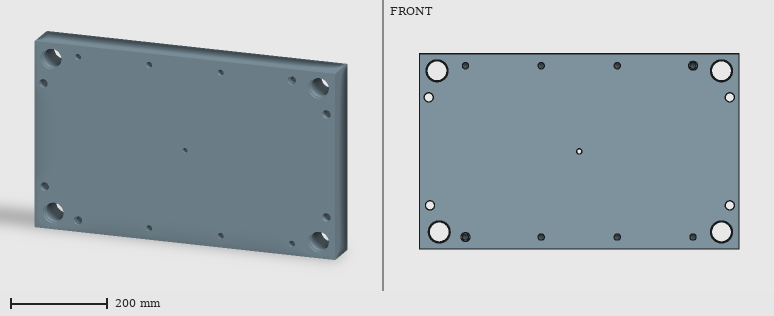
import cadquery as cq
import math

length = 660.5
thickness = 73.0
height = 403.5
front_y = -thickness / 2

pillar_diameter = 41.0
pillar_recess_diameter = 45.5
pillar_recess_depth = 5.0
pillar_x = 294.0
pillar_z = 166.5
pillar_offset = 4.5

side_diameter = 18.5
side_x = 311.0
side_z = 111.5
side_offset = 2.5

centre_diameter = 10.5

blind_diameter = 13.0
blind_depth = 33.0
drill_point_angle = 118.0
outer_blind_x = 235.0
inner_blind_x = 78.5
row_z = 177.0

counterbore_diameter = 18.5
counterbore_depth = 6.5


def cylinder(x, z, diameter, depth):
    """Cutter running from the front face into the plate."""
    return cq.Workplane(
        cq.Solid.makeCylinder(diameter / 2, depth, cq.Vector(x, front_y, z), cq.Vector(0, 1, 0))
    )


def cone(x, y, z, start_diameter, end_diameter, depth):
    """Conical cutter along +Y that starts at the given point."""
    return cq.Workplane(
        cq.Solid.makeCone(
            start_diameter / 2, end_diameter / 2, depth, cq.Vector(x, y, z), cq.Vector(0, 1, 0)
        )
    )


def cut_pillar_bore(body, x, z):
    body = body.cut(cylinder(x, z, pillar_diameter, thickness))
    return body.cut(cylinder(x, z, pillar_recess_diameter, pillar_recess_depth))


def cut_blind_hole(body, x, z):
    point_depth = blind_diameter / 2 / math.tan(math.radians(drill_point_angle / 2))
    body = body.cut(cylinder(x, z, blind_diameter, blind_depth))
    return body.cut(cone(x, front_y + blind_depth, z, blind_diameter, 0, point_depth))


result = cq.Workplane("XY").box(length, thickness, height)

for side in (-1, 1):
    for level in (-1, 1):
        is_lower_left = side < 0 and level < 0
        bore_x = side * pillar_x + (pillar_offset if is_lower_left else 0)
        hole_x = side * side_x + (side_offset if is_lower_left else 0)
        result = cut_pillar_bore(result, bore_x, level * pillar_z)
        result = result.cut(cylinder(hole_x, level * side_z, side_diameter, thickness))

result = result.cut(cylinder(0, 0, centre_diameter, thickness))

for level in (-1, 1):
    for x in (-outer_blind_x, -inner_blind_x, inner_blind_x, outer_blind_x):
        result = cut_blind_hole(result, x, level * row_z)

for corner in (-1, 1):
    result = result.cut(
        cylinder(corner * outer_blind_x, corner * row_z, counterbore_diameter, counterbore_depth)
    )